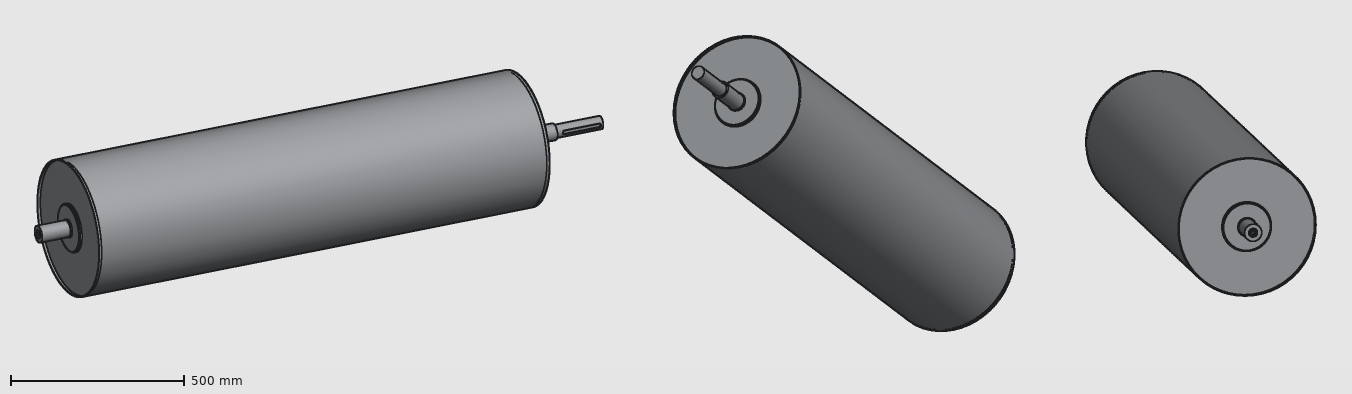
import cadquery as cq

total_length = 1810.0
front_end = -total_length / 2
back_end = total_length / 2
front_shaft_length = 96.0
back_shaft_length = 262.0
journal_length = 150.0
drum_front = front_end + front_shaft_length
drum_back = back_end - back_shaft_length

drum_diameter = 405.0
recess_diameter = 400.0
recess_depth = 9.0
hub_diameter = 145.0
hub_chamfer = 4.0

shaft_diameter = 50.0
journal_diameter = 40.0
collar_diameter = 55.0
collar_projection = 5.0

keyway_width = 12.0
keyway_depth = 5.0
keyway_length = 123.0
keyway_end_gap = 7.0

countersink_diameter = 25.0
relief_diameter = 17.0
relief_depth = 10.0
tap_diameter = 13.8
tap_depth = 42.0


def cylinder(diameter, start, end):
    """Cylinder on the roller axis between two Y positions."""
    plane = cq.Plane(origin=(0, start, 0), xDir=(1, 0, 0), normal=(0, 1, 0))
    return cq.Workplane(plane).circle(diameter / 2).extrude(end - start)


def end_recess():
    """Annular recess, at the front drum end, around a flush hub with a chamfered edge."""
    recess_floor = drum_front + recess_depth
    hub = cylinder(hub_diameter, drum_front, recess_floor).faces("<Y").chamfer(hub_chamfer)
    return cylinder(recess_diameter, drum_front, recess_floor).cut(hub)


def make_drum():
    drum = cylinder(drum_diameter, drum_front, drum_back)
    front_recess = end_recess()
    drum_middle = (0, (drum_front + drum_back) / 2, 0)
    back_recess = front_recess.mirror("XZ", drum_middle)
    return drum.cut(front_recess).cut(back_recess)


def make_shaft():
    collar = cylinder(collar_diameter, drum_front - collar_projection, drum_back + collar_projection)
    main_shaft = cylinder(shaft_diameter, front_end, back_end - journal_length)
    journal = cylinder(journal_diameter, back_end - journal_length, back_end)
    return collar.union(main_shaft).union(journal)


def make_keyway():
    keyway_middle = back_end - keyway_end_gap - keyway_length / 2
    floor_x = journal_diameter / 2 - keyway_depth
    return (
        cq.Workplane("YZ", origin=(floor_x, keyway_middle, 0))
        .slot2D(keyway_length, keyway_width)
        .extrude(journal_diameter / 2)
    )


def make_centre_hole():
    """Tapped bore, wider thread relief and conical countersink."""
    bore = cylinder(tap_diameter, front_end, front_end + tap_depth)
    relief = cylinder(relief_diameter, front_end, front_end + relief_depth)
    countersink = cq.Workplane(
        cq.Solid.makeCone(
            countersink_diameter / 2,
            0,
            countersink_diameter / 2,
            pnt=cq.Vector(0, front_end, 0),
            dir=cq.Vector(0, 1, 0),
        )
    )
    return bore.union(relief).union(countersink)


result = make_drum().union(make_shaft()).cut(make_keyway()).cut(make_centre_hole())